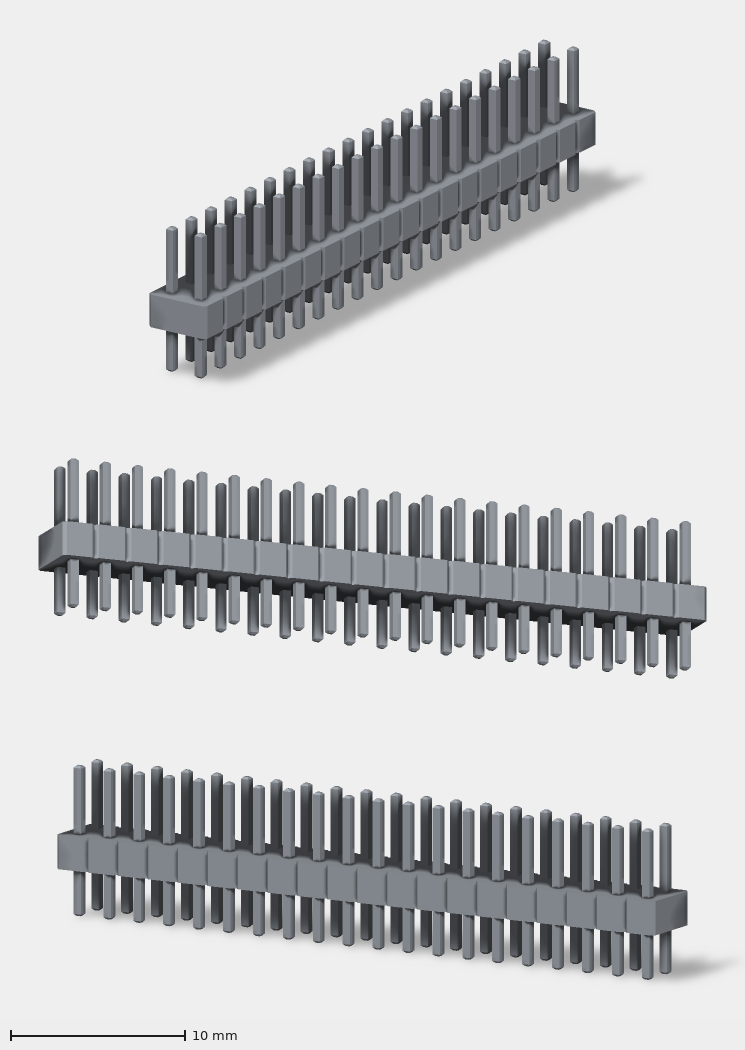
import cadquery as cq

pitch = 2.0
cells = 20
columns = 2

housing_height = 2.0
cell_chamfer = pitch / 10

pin_width = pitch / 4
pin_tip_chamfer = pin_width / 4
pin_above = 4.0
pin_below = 2.8

housing_width = columns * pitch
housing_length = cells * pitch
pin_length = pin_below + housing_height + pin_above


def housing():
    """Plain block with beveled end corners and V-notches between the cells; base at Z = 0."""
    block = cq.Workplane("XY").box(
        housing_width, housing_length, housing_height, centered=(True, True, False)
    )
    boundaries = [
        (side * housing_width / 2, index * pitch - housing_length / 2)
        for side in (-1, 1)
        for index in range(cells + 1)
    ]
    notches = (
        cq.Workplane("XY")
        .pushPoints(boundaries)
        .polygon(4, 2 * cell_chamfer)
        .extrude(housing_height)
    )
    return block.cut(notches)


def pins():
    """Grid of square pins with beveled tips, passing through the housing."""
    pin = (
        cq.Workplane("XY")
        .box(pin_width, pin_width, pin_length, centered=(True, True, False))
        .faces("<Z or >Z")
        .chamfer(pin_tip_chamfer)
        .translate((0, 0, -pin_below))
    )
    return (
        cq.Workplane("XY")
        .rarray(pitch, pitch, columns, cells)
        .eachpoint(pin.val(), combine=False)
    )


result = housing().union(pins())